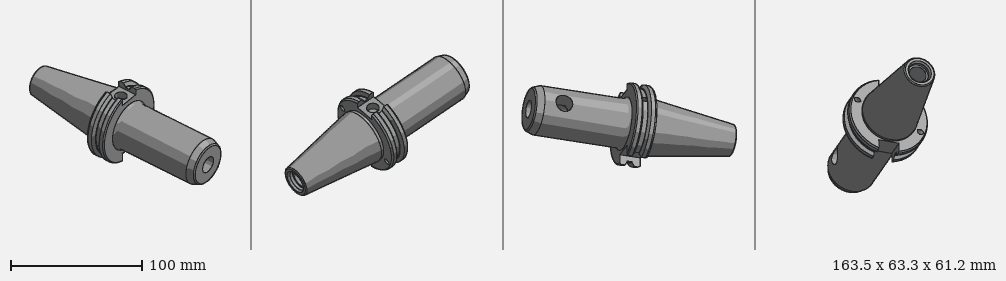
import cadquery as cq
import math

total_length = 163.5
gauge_x = 68.2
gauge_radius = 22.2
taper_ratio = 7 / 24
taper_edge = 0.8

relief_start_x = 69.5
relief_radius = 43.7 / 2

flange_front_x = 70.8
flange_rear_x = 87.3
flange_radius = 63.3 / 2
front_chamfer_length = 1.5
front_chamfer_drop = 1.0
rear_chamfer = 1.0
groove_x = 79.3
groove_floor_radius = 28.1
groove_wall_radius = 29.0
groove_floor_half_width = 2.0
groove_mouth_half_width = 3.8

shank_radius = 38.1 / 2
neck_fillet_radius = 3.3
neck_length = 2.8
nose_start_x = 157.0
nose_edge_x = 162.5
nose_edge_radius = 17.0
nose_end_radius = 15.9

bore_diameter = 13.4
mouth_diameter = 16.5
mouth_depth = 4.5
countersink_diameter = 18.6
countersink_depth = 2.0

slot_width = 16.2
upper_slot_floor_z = 25.0
lower_slot_floor_z = -22.5
dimple_diameter = 9.5
dimple_depth = 6.5
drill_tip_angle = 118.0

screw_hole_x = 141.3
screw_hole_diameter = 13.4

coolant_turn = 20.0
coolant_face_radius = 27.0
coolant_slant = 40.0
coolant_diameter = 4.0
groove_hole_diameter = 4.3


def make_body():
    """Revolve the outer profile about the X axis."""
    taper_end_radius = gauge_radius - gauge_x * taper_ratio / 2
    neck_rise = neck_fillet_radius - math.sqrt(neck_fillet_radius**2 - neck_length**2)
    half_sweep = math.asin(neck_length / neck_fillet_radius) / 2
    neck_end_x = flange_rear_x + neck_length
    neck_middle = (
        neck_end_x - neck_fillet_radius * math.sin(half_sweep),
        shank_radius + neck_fillet_radius * (1 - math.cos(half_sweep)),
    )
    profile = (
        cq.Workplane("XY")
        .moveTo(0, 0)
        .lineTo(0, taper_end_radius - taper_edge)
        .lineTo(taper_edge, taper_end_radius + taper_edge * taper_ratio / 2)
        .lineTo(gauge_x, gauge_radius)
        .lineTo(relief_start_x, relief_radius)
        .lineTo(flange_front_x, relief_radius)
        .lineTo(flange_front_x, flange_radius - front_chamfer_drop)
        .lineTo(flange_front_x + front_chamfer_length, flange_radius)
        .lineTo(groove_x - groove_mouth_half_width, flange_radius)
        .lineTo(groove_x - groove_floor_half_width, groove_wall_radius)
        .lineTo(groove_x - groove_floor_half_width, groove_floor_radius)
        .lineTo(groove_x + groove_floor_half_width, groove_floor_radius)
        .lineTo(groove_x + groove_floor_half_width, groove_wall_radius)
        .lineTo(groove_x + groove_mouth_half_width, flange_radius)
        .lineTo(flange_rear_x - rear_chamfer, flange_radius)
        .lineTo(flange_rear_x, flange_radius - rear_chamfer)
        .lineTo(flange_rear_x, shank_radius + neck_rise)
        .threePointArc(neck_middle, (neck_end_x, shank_radius))
        .lineTo(nose_start_x, shank_radius)
        .lineTo(nose_edge_x, nose_edge_radius)
        .lineTo(total_length, nose_end_radius)
        .lineTo(total_length, 0)
        .close()
    )
    return profile.revolve(360, (0, 0, 0), (1, 0, 0))


def make_bore():
    """Through bore with the counterbored, countersunk mouth."""
    profile = (
        cq.Workplane("XY")
        .moveTo(0, 0)
        .lineTo(0, countersink_diameter / 2)
        .lineTo(countersink_depth, mouth_diameter / 2)
        .lineTo(mouth_depth, mouth_diameter / 2)
        .lineTo(mouth_depth, bore_diameter / 2)
        .lineTo(total_length, bore_diameter / 2)
        .lineTo(total_length, 0)
        .close()
    )
    return profile.revolve(360, (0, 0, 0), (1, 0, 0))


def make_slot(floor_z):
    """Block that clears a drive slot from its floor outward, on the floor's side of the axis."""
    outward = math.copysign(flange_radius, floor_z)
    return (
        cq.Workplane("XY", origin=((flange_front_x + flange_rear_x) / 2, 0, floor_z))
        .rect(flange_rear_x - flange_front_x, slot_width)
        .extrude(outward)
    )


def make_dimple():
    """Blind drilled hole with a conical bottom in the upper slot floor."""
    radius = dimple_diameter / 2
    tip_depth = radius / math.tan(math.radians(drill_tip_angle / 2))
    return (
        cq.Workplane("XZ", origin=(groove_x, 0, upper_slot_floor_z))
        .moveTo(0, 0)
        .lineTo(radius, 0)
        .lineTo(radius, -dimple_depth)
        .lineTo(0, -dimple_depth - tip_depth)
        .close()
        .revolve(360, (0, 0, 0), (0, 1, 0))
    )


def make_coolant_passage():
    """Slanted face hole joined to a radial groove hole, placed on the +Y side."""
    slant = math.radians(coolant_slant)
    run = groove_x - flange_front_x
    meeting_radius = coolant_face_radius - run * math.tan(slant)
    direction = cq.Vector(math.cos(slant), -math.sin(slant), 0)
    face_point = cq.Vector(flange_front_x, coolant_face_radius, 0)
    lead_in = coolant_diameter
    face_hole = cq.Solid.makeCylinder(
        coolant_diameter / 2,
        run / math.cos(slant) + lead_in,
        face_point - direction * lead_in,
        direction,
    )
    groove_hole = cq.Solid.makeCylinder(
        groove_hole_diameter / 2,
        flange_radius - meeting_radius,
        cq.Vector(groove_x, meeting_radius, 0),
        cq.Vector(0, 1, 0),
    )
    return cq.Workplane(face_hole).union(cq.Workplane(groove_hole))


def make_screw_hole():
    """Radial hole from the +Y side of the shank into the bore."""
    return cq.Workplane(
        cq.Solid.makeCylinder(
            screw_hole_diameter / 2,
            shank_radius,
            cq.Vector(screw_hole_x, 0, 0),
            cq.Vector(0, 1, 0),
        )
    )


result = make_body().cut(make_bore())
for slot_floor_z in (upper_slot_floor_z, lower_slot_floor_z):
    result = result.cut(make_slot(slot_floor_z))
result = result.cut(make_dimple()).cut(make_screw_hole())
for side_angle in (0, 180):
    turn = coolant_turn + side_angle
    result = result.cut(make_coolant_passage().rotate((0, 0, 0), (1, 0, 0), turn))